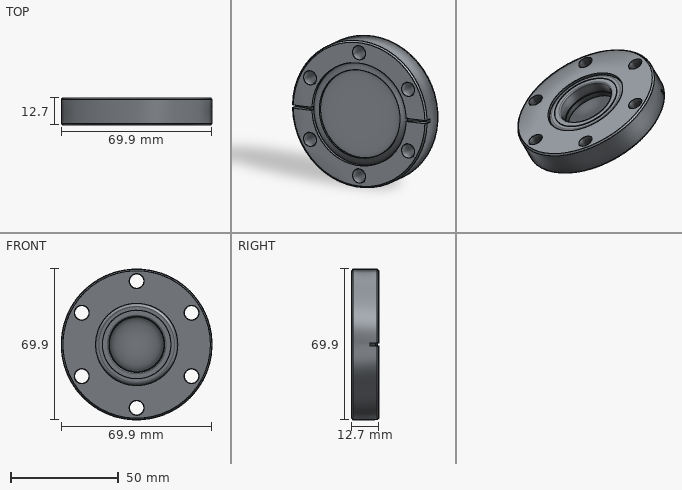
import cadquery as cq
import math

flange_radius = 69.85 / 2
thickness = 12.7
rim_chamfer = 0.76
front_y = -thickness / 2
back_y = thickness / 2

bolt_count = 6
bolt_circle_radius = 58.72 / 2
bolt_hole_diameter = 6.7

hub_radius = 38.1 / 2
hub_rounding = 1.5
hub_ring_depth = 0.5
land_radius = 31.75 / 2
land_depth = 0.25

bore_radius = 12.95
bore_rounding = 0.62
bore_step_depth = 5.9
bore_step_chamfer = 0.25
bore_floor_depth = 8.6

recess_radius = 48.9 / 2
knife_radius = 41.9 / 2
knife_tip_depth = 0.65
knife_slope = math.radians(20)
knife_root_depth = knife_tip_depth + (recess_radius - knife_radius) * math.tan(knife_slope)

groove_width = 1.5
groove_rim_depth = 4.0
cutter_radius = 38.1
cutter_rim_offset = 3.2
cutter_centre_x = flange_radius + cutter_rim_offset


def make_body():
    """Revolve the half section, drawn with radius along X, about the Y axis."""
    ring_y = front_y + hub_ring_depth
    land_y = front_y + land_depth
    step_y = front_y + bore_step_depth
    floor_y = front_y + bore_floor_depth
    root_y = back_y - knife_root_depth
    inner_bore_radius = bore_radius - bore_step_chamfer
    ring_radius = hub_radius - hub_rounding
    diagonal = math.sqrt(0.5)

    section = (
        cq.Workplane("XY")
        .moveTo(0, floor_y)
        .lineTo(inner_bore_radius, floor_y)
        .lineTo(inner_bore_radius, step_y + bore_step_chamfer)
        .lineTo(bore_radius, step_y)
        .lineTo(bore_radius, land_y + bore_rounding)
        .threePointArc(
            (
                bore_radius + bore_rounding * (1 - diagonal),
                land_y + bore_rounding * (1 - diagonal),
            ),
            (bore_radius + bore_rounding, land_y),
        )
        .lineTo(land_radius, land_y)
        .lineTo(land_radius, ring_y)
        .lineTo(ring_radius, ring_y)
        .threePointArc(
            (
                ring_radius + hub_rounding * diagonal,
                ring_y + hub_rounding * (1 - diagonal),
            ),
            (hub_radius, ring_y + hub_rounding),
        )
        .lineTo(hub_radius, front_y)
        .lineTo(flange_radius - rim_chamfer, front_y)
        .lineTo(flange_radius, front_y + rim_chamfer)
        .lineTo(flange_radius, back_y - rim_chamfer)
        .lineTo(flange_radius - rim_chamfer, back_y)
        .lineTo(recess_radius, back_y)
        .lineTo(recess_radius, root_y)
        .lineTo(knife_radius, back_y - knife_tip_depth)
        .lineTo(knife_radius, root_y)
        .lineTo(0, root_y)
        .close()
    )
    return section.revolve(360, (0, 0, 0), (0, 1, 0))


def make_bolt_holes():
    """Through holes equally spaced on the bolt circle, one of them at the top."""
    return (
        cq.Workplane("XZ", origin=(0, back_y, 0))
        .polarArray(bolt_circle_radius, 90, 360, bolt_count)
        .circle(bolt_hole_diameter / 2)
        .extrude(thickness)
    )


def make_leak_groove(side):
    """Disc cutter for the groove on the +X (side=1) or -X (side=-1) edge."""
    centre_y = back_y - groove_rim_depth + math.sqrt(cutter_radius**2 - cutter_rim_offset**2)
    return (
        cq.Workplane("XY", origin=(side * cutter_centre_x, centre_y, 0))
        .circle(cutter_radius)
        .extrude(groove_width / 2, both=True)
    )


result = make_body().cut(make_bolt_holes())
for side in (-1, 1):
    result = result.cut(make_leak_groove(side))